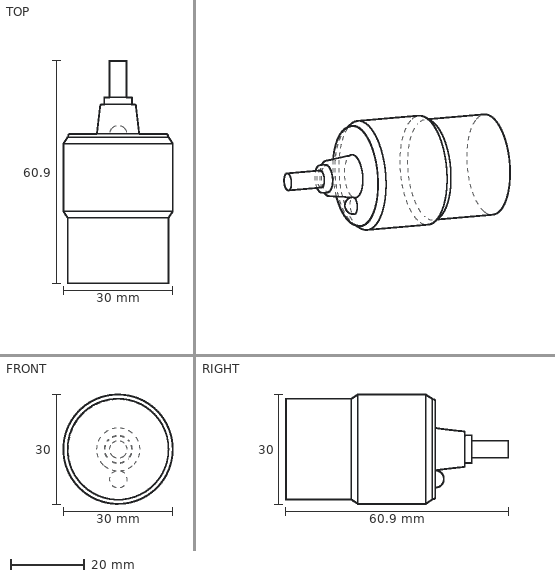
import cadquery as cq

total_length = 60.9
body_diameter = 30.0
body_radius = body_diameter / 2
front_radius = 13.8
shoulder_radius = 13.8
cap_radius = 13.7
cap_edge_round = 0.55
cable_radius = 2.4
collar_radius = 3.85
collar_edge_round = 0.2
boot_tip_radius = 4.9
boot_base_radius = 5.8
boot_edge_round = 0.5
boot_foot_radius = 5.9
boot_foot_height = 0.3
lamp_radius = 2.4
lamp_offset = 8.15

front_length = 17.95
front_taper_length = 1.75
body_length = 18.5
rear_taper_length = 1.8
cap_length = 0.85
boot_length = 8.1
collar_length = 1.9

body_start = front_length + front_taper_length
body_end = body_start + body_length
shoulder_end = body_end + rear_taper_length
cap_end = shoulder_end + cap_length
boot_end = cap_end + boot_length
collar_end = boot_end + collar_length


def make_housing():
    """Turned housing with tapers at both ends of its wide band."""
    return (
        cq.Workplane("XY")
        .polyline([
            (0, 0),
            (front_radius, 0),
            (front_radius, front_length),
            (body_radius, body_start),
            (body_radius, body_end),
            (shoulder_radius, shoulder_end),
            (0, shoulder_end),
        ])
        .close()
        .revolve(360, (0, 0, 0), (0, 1, 0))
    )


def make_disc(radius, start, end):
    """Cylinder about the Y axis between two axial stations."""
    return cq.Workplane("XZ", origin=(0, start, 0)).circle(radius).extrude(start - end)


def make_boot():
    """Tapered cable boot with a flared foot and a rounded tip."""
    foot_end = cap_end + boot_foot_height
    return (
        cq.Workplane("XY")
        .polyline([
            (0, cap_end),
            (boot_foot_radius, cap_end),
            (boot_base_radius, foot_end),
            (boot_tip_radius, boot_end),
            (0, boot_end),
        ])
        .close()
        .revolve(360, (0, 0, 0), (0, 1, 0))
        .faces(">Y")
        .edges()
        .fillet(boot_edge_round)
    )


cap = make_disc(cap_radius, shoulder_end, cap_end).faces(">Y").edges().fillet(cap_edge_round)
collar = make_disc(collar_radius, boot_end, collar_end).faces("<Y or >Y").edges().fillet(collar_edge_round)
cable = make_disc(cable_radius, collar_end, total_length)

lamp = cq.Workplane("XY").sphere(lamp_radius).translate((0, cap_end, -lamp_offset))

result = make_housing().union(cap).union(make_boot()).union(collar).union(cable).union(lamp)